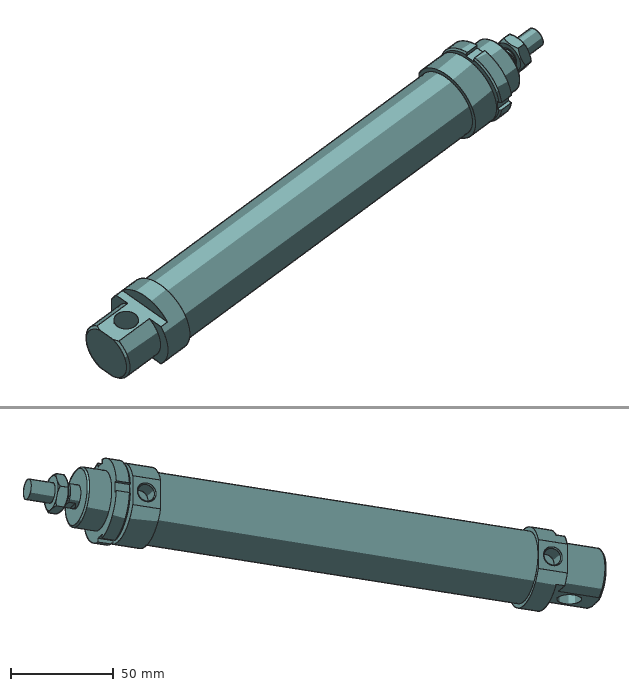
import cadquery as cq
import math

LENGTH = 299.0

BARREL_RADIUS = 18.0
CAP_RADIUS = 20.0
CAP_FLAT_X = -18.5
REAR_CAP_START = 22.5
REAR_CAP_END = 37.7
FRONT_CAP_START = 236.5
FRONT_CAP_END = 251.2

BOSS_RADIUS = 15.0
REAR_BOSS_CHAMFER = 1.2
FRONT_BOSS_END = 273.3
FRONT_BOSS_CHAMFER = 1.0

CLEVIS_THICKNESS = 26.0
CLEVIS_FLAT_END = 27.0
PIVOT_DIAMETER = 12.0
PIVOT_Y = 13.8

PORT_DIAMETER = 8.7
PORT_DEPTH = 9.0
PORT_CHAMFER = 0.5

ROD_RADIUS = 6.0
ROD_SHOULDER_Y = 278.7
ROD_SOCKET_DEPTH = 18.0
WRENCH_FLAT_WIDTH = 10.0
WRENCH_FLAT_LENGTH = 3.5
THREAD_RADIUS = 5.0
NECK_RADIUS = 4.2

HEX_SIDES = 6
HEX_WIDTH = 17.0
HEX_START = 280.5
HEX_END = 286.5
HEX_REAR_FACE_RADIUS = 7.8
HEX_FRONT_FACE_RADIUS = 8.7
HEX_CHAMFER_ANGLE = 30.0

RING_RADIUS = 21.0
RING_START = 253.0
RING_END = 260.7
RING_CHAMFER = 1.0
RING_SLOT_COUNT = 4
RING_SLOT_WIDTH = 5.0
RING_SLOT_DEPTH = 2.0


def cylinder_along_y(radius, start, end):
    """Solid cylinder on the Y axis between two Y positions."""
    return cq.Workplane("XZ", origin=(0, start, 0)).circle(radius).extrude(start - end)


def box_between(x_range, y_range, z_range):
    """Box that fills the given (low, high) range along each axis."""
    sizes = [high - low for low, high in (x_range, y_range, z_range)]
    corner = [low for low, high in (x_range, y_range, z_range)]
    return cq.Workplane("XY").box(*sizes, centered=False).translate(tuple(corner))


def make_cap(start, end):
    """Round cap with one flat on the -X side."""
    cap = cylinder_along_y(CAP_RADIUS, start, end)
    beyond_flat = box_between((-LENGTH, CAP_FLAT_X), (start, end), (-CAP_RADIUS, CAP_RADIUS))
    return cap.cut(beyond_flat)


def make_port(port_y):
    """Cutter for a blind port with a chamfered mouth in the cap flat."""
    mouth_radius = PORT_DIAMETER / 2 + PORT_CHAMFER
    profile = [
        (CAP_FLAT_X, 0),
        (CAP_FLAT_X, mouth_radius),
        (CAP_FLAT_X + PORT_CHAMFER, PORT_DIAMETER / 2),
        (CAP_FLAT_X + PORT_DEPTH, PORT_DIAMETER / 2),
        (CAP_FLAT_X + PORT_DEPTH, 0),
    ]
    port = cq.Workplane("XY").polyline(profile).close().revolve(360, (0, 0), (1, 0))
    return port.translate((0, port_y, 0))


def make_housing():
    """Barrel with both caps, the rear clevis, and the front boss with a socket for the rod."""
    barrel = cylinder_along_y(BARREL_RADIUS, REAR_CAP_END, FRONT_CAP_START)
    rear_boss = cylinder_along_y(BOSS_RADIUS, 0, REAR_CAP_START).faces("<Y").chamfer(REAR_BOSS_CHAMFER)
    front_boss = cylinder_along_y(BOSS_RADIUS, FRONT_CAP_END, FRONT_BOSS_END)
    front_boss = front_boss.faces(">Y").chamfer(FRONT_BOSS_CHAMFER)
    body = barrel.union(rear_boss).union(front_boss)
    for start, end in ((REAR_CAP_START, REAR_CAP_END), (FRONT_CAP_START, FRONT_CAP_END)):
        body = body.union(make_cap(start, end))
        body = body.cut(make_port((start + end) / 2))

    for low, high in ((CLEVIS_THICKNESS / 2, LENGTH), (-LENGTH, -CLEVIS_THICKNESS / 2)):
        body = body.cut(box_between((-CAP_RADIUS, CAP_RADIUS), (0, CLEVIS_FLAT_END), (low, high)))
    pivot = cq.Workplane("XY").center(0, PIVOT_Y).circle(PIVOT_DIAMETER / 2)
    body = body.cut(pivot.extrude(CLEVIS_THICKNESS, both=True))

    rod_socket = cylinder_along_y(ROD_RADIUS, FRONT_BOSS_END - ROD_SOCKET_DEPTH, FRONT_BOSS_END)
    return body.cut(rod_socket)


def make_rod():
    """Rod with a pair of wrench flats that run out at 45 degrees, a neck and a thread."""
    rod = cylinder_along_y(ROD_RADIUS, FRONT_BOSS_END - ROD_SOCKET_DEPTH, ROD_SHOULDER_Y)
    flat_height = WRENCH_FLAT_WIDTH / 2
    runout_end = ROD_SHOULDER_Y - WRENCH_FLAT_LENGTH - (ROD_RADIUS - flat_height)
    flat_profile = [
        (ROD_SHOULDER_Y, flat_height),
        (ROD_SHOULDER_Y - WRENCH_FLAT_LENGTH, flat_height),
        (runout_end, ROD_RADIUS),
        (ROD_SHOULDER_Y, ROD_RADIUS),
    ]
    flat_cut = cq.Workplane("YZ").polyline(flat_profile).close().extrude(ROD_RADIUS, both=True)
    rod = rod.cut(flat_cut).cut(flat_cut.mirror("XY"))
    neck = cylinder_along_y(NECK_RADIUS, ROD_SHOULDER_Y, HEX_START)
    thread = cylinder_along_y(THREAD_RADIUS, HEX_START, LENGTH)
    return rod.union(neck).union(thread)


def make_hex_nut():
    """Hexagonal nut with flats on top and bottom and chamfered corners at both ends."""
    corner_diameter = HEX_WIDTH / math.cos(math.pi / HEX_SIDES)
    hexagon = cq.Workplane("XZ", origin=(0, HEX_START, 0)).polygon(HEX_SIDES, corner_diameter)
    nut = hexagon.extrude(HEX_START - HEX_END)
    corner_radius = corner_diameter / 2
    chamfer_slope = math.tan(math.radians(HEX_CHAMFER_ANGLE))
    rear_chamfer = (corner_radius - HEX_REAR_FACE_RADIUS) * chamfer_slope
    front_chamfer = (corner_radius - HEX_FRONT_FACE_RADIUS) * chamfer_slope
    turned_profile = [
        (0, HEX_START),
        (HEX_REAR_FACE_RADIUS, HEX_START),
        (corner_radius, HEX_START + rear_chamfer),
        (corner_radius, HEX_END - front_chamfer),
        (HEX_FRONT_FACE_RADIUS, HEX_END),
        (0, HEX_END),
    ]
    turned = cq.Workplane("XY").polyline(turned_profile).close().revolve(360, (0, 0), (0, 1))
    return nut.intersect(turned).cut(cylinder_along_y(THREAD_RADIUS, HEX_START, HEX_END))


def make_ring_nut():
    """Round nut with evenly spaced spanner slots in its rim."""
    nut = cylinder_along_y(RING_RADIUS, RING_START, RING_END).faces("<Y").chamfer(RING_CHAMFER)
    slot_floor = RING_RADIUS - RING_SLOT_DEPTH
    slot = box_between(
        (slot_floor, RING_RADIUS + RING_SLOT_DEPTH),
        (RING_START, RING_END),
        (-RING_SLOT_WIDTH / 2, RING_SLOT_WIDTH / 2),
    )
    for index in range(RING_SLOT_COUNT):
        angle = index * 360 / RING_SLOT_COUNT
        nut = nut.cut(slot.rotate((0, 0, 0), (0, 1, 0), angle))
    return nut.cut(cylinder_along_y(BOSS_RADIUS, RING_START, RING_END))


housing = make_housing()
rod = make_rod()
hex_nut = make_hex_nut()
ring_nut = make_ring_nut()

result = cq.Compound.makeCompound([housing.val(), rod.val(), hex_nut.val(), ring_nut.val()])